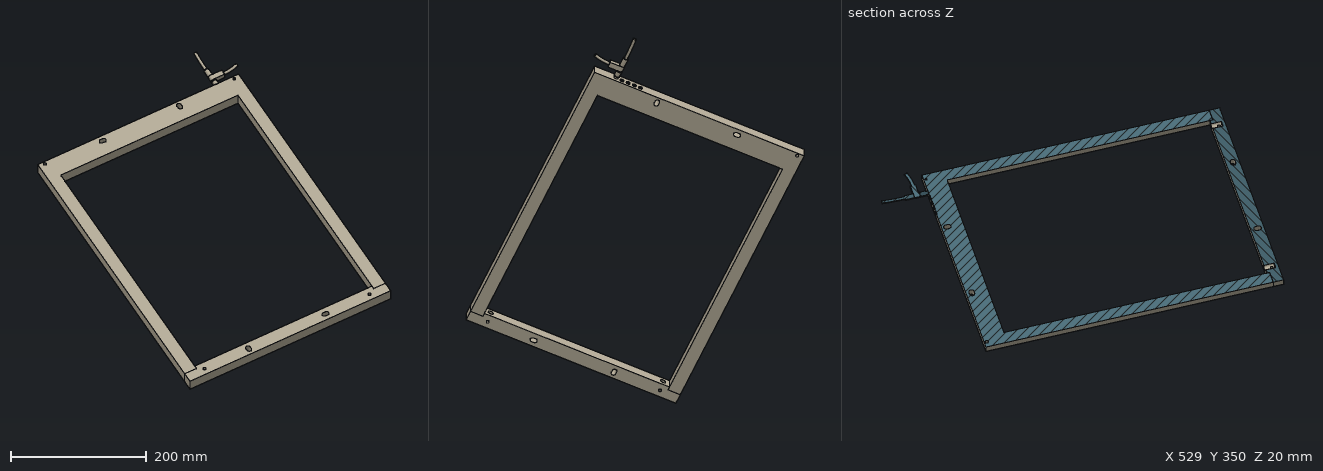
import cadquery as cq
import math

frame_length = 458.0
frame_width = 340.0
thickness = 20.0
left_rail_width = 34.0
arm_width = 20.0
end_bar_cap = 16.0
end_bar_width = 21.0
arm_end = frame_length - end_bar_cap
end_bar_inner = frame_length - end_bar_width
window_half = frame_width / 2 - arm_width

slot_length = 10.5
slot_width = 7.0
slot_y = 65.0
left_slot_x = 9.0
end_bar_hole_inset = 10.0
end_bar_hole_x = frame_length - end_bar_hole_inset
corner_hole_x = 4.0
corner_hole_y = 160.0
corner_hole_diameter = 4.2
corner_recess_depth = 2.0
corner_pilot_diameter = 2.5
end_hole_y = 139.5
end_hole_diameter = 4.2
screw_hole_diameter = 8.0
screw_hole_depth = 16.0

port_y = 135.5
port_pitch = 10.0
port_depth = 1.0
port_diameter = 6.0
port_pin_diameter = 2.5
empty_port_count = 4

collar_diameter = 7.0
collar_length = 3.0
nut_diameter = 9.0
nut_end = 11.5
elbow_start = 13.0
elbow_size = 9.0
elbow_end = elbow_start + elbow_size
plug_end = 35.5
plug_diameter = 8.5
cable_diameter = 5.5
straight_cable_reach = 35.5
straight_cable_bend = 5

arm_base_reach = 8.0
arm_reach = 19.0
arm_draft = 1
side_cable_overhang = 10.0
side_cable_reach = frame_width / 2 + side_cable_overhang - port_y - arm_reach
side_cable_bend = 20


def box(x_min, x_max, y_min, y_max, height):
    """Box given by its X and Y limits, centred on Z = 0."""
    size = (x_max - x_min, y_max - y_min, height)
    centre = ((x_min + x_max) / 2, (y_min + y_max) / 2, 0)
    return cq.Workplane("XY").box(*size).translate(centre)


def rod_x(x_min, x_max, y, diameter):
    """Cylinder along X at Z = 0."""
    return cq.Workplane("YZ", origin=(x_min, y, 0)).circle(diameter / 2).extrude(x_max - x_min)


def vertical_hole(x, y, diameter):
    return cq.Workplane("XY").center(x, y).circle(diameter / 2).extrude(thickness, both=True)


def blind_hole(x, y, diameter, depth):
    """Cutter for a round hole sunk from the top face."""
    top = cq.Workplane("XY", origin=(x, y, thickness / 2))
    return top.circle(diameter / 2).extrude(-depth)


def vertical_slot(x, y, angle):
    return cq.Workplane("XY").center(x, y).slot2D(slot_length, slot_width, angle).extrude(thickness, both=True)


def bent_cable(reach, bend):
    """Cable leaving the origin along +Y, curving towards -X by `bend` degrees; its tip ends at Y = reach."""
    angle = math.radians(bend)
    length = reach - cable_diameter / 2 * math.sin(angle)
    radius = length / math.sin(angle)
    middle = (radius * math.cos(angle / 2) - radius, radius * math.sin(angle / 2))
    end = (radius * math.cos(angle) - radius, length)
    path = cq.Workplane("XY").threePointArc(middle, end)
    return cq.Workplane("XZ").circle(cable_diameter / 2).sweep(path)


def make_frame():
    """C-shaped frame: a wide left rail with two long arms."""
    frame = box(0, arm_end, -frame_width / 2, frame_width / 2, thickness)
    frame = frame.cut(box(left_rail_width, frame_length, -window_half, window_half, 2 * thickness))
    frame = frame.cut(vertical_slot(left_slot_x, slot_y, 0))
    frame = frame.cut(vertical_slot(left_slot_x, -slot_y, 90))
    frame = frame.cut(vertical_hole(corner_hole_x, -corner_hole_y, corner_hole_diameter))
    frame = frame.cut(blind_hole(corner_hole_x, corner_hole_y, corner_hole_diameter, corner_recess_depth))
    frame = frame.cut(blind_hole(corner_hole_x, corner_hole_y, corner_pilot_diameter, thickness / 2))
    for index in range(1, empty_port_count + 1):
        y = port_y - index * port_pitch
        frame = frame.cut(rod_x(0, port_depth, y, port_diameter))
        frame = frame.union(rod_x(0, port_depth, y, port_pin_diameter))
    return frame


def make_end_bar():
    """Bar closing the frame, notched at both ends to take the arm ends."""
    bar = box(arm_end, frame_length, -frame_width / 2, frame_width / 2, thickness)
    bar = bar.union(box(end_bar_inner, arm_end, -window_half, window_half, thickness))
    bar = bar.cut(vertical_slot(end_bar_hole_x, slot_y, 90))
    bar = bar.cut(vertical_slot(end_bar_hole_x, -slot_y, 0))
    for y in (-end_hole_y, end_hole_y):
        bar = bar.cut(vertical_hole(end_bar_hole_x, y, end_hole_diameter))
        bar = bar.cut(rod_x(end_bar_inner, end_bar_inner + screw_hole_depth, y, screw_hole_diameter))
    return bar


def make_socket():
    """Collar on the frame, the coupling nut and a narrower neck between nut and elbow."""
    neck = rod_x(-elbow_start, 0, port_y, collar_diameter)
    nut = rod_x(-nut_end, -collar_length, port_y, nut_diameter)
    return neck.union(nut)


def make_elbow():
    """Angled plug: a block rounded around the connector axis, a square arm along +Y and a bent cable."""
    axis_x = -(elbow_start + elbow_end) / 2
    block = rod_x(-elbow_end, -elbow_start, port_y, elbow_size)
    arm_base = box(-elbow_end, -elbow_start, port_y, port_y + arm_base_reach, elbow_size)
    arm_plane = cq.Workplane("XZ", origin=(axis_x, port_y + arm_base_reach, 0))
    arm_length = arm_reach - arm_base_reach
    arm = arm_plane.rect(elbow_size, elbow_size).extrude(-arm_length, taper=arm_draft)
    cable = bent_cable(side_cable_reach, side_cable_bend).translate((axis_x, port_y + arm_reach, 0))
    return block.union(arm_base).union(arm).union(cable)


def make_straight_plug():
    """Straight plug behind the elbow with its slightly bent cable."""
    plug = rod_x(-plug_end, -elbow_end, port_y, plug_diameter)
    cable = bent_cable(straight_cable_reach, straight_cable_bend)
    cable = cable.mirror("YZ").rotate((0, 0, 0), (0, 0, 1), 90)
    return plug.union(cable.translate((-plug_end, port_y, 0)))


frame = make_frame()
end_bar = make_end_bar()
socket = make_socket()
elbow = make_elbow()
straight_plug = make_straight_plug()

result = cq.Compound.makeCompound(
    [frame.val(), end_bar.val(), socket.val(), elbow.val(), straight_plug.val()]
)